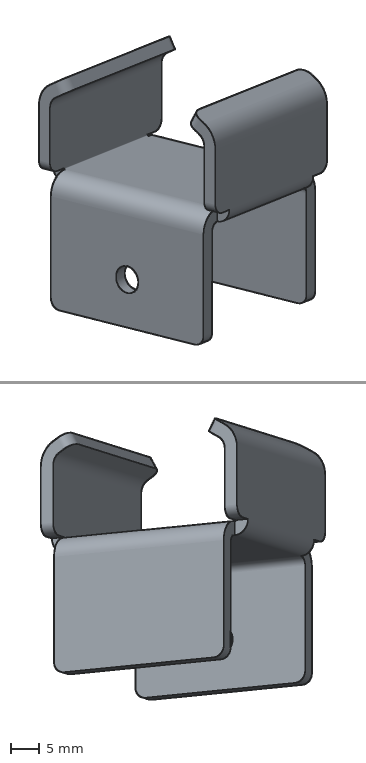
import cadquery as cq
import math

width = 40.0
depth = 32.0
height = 43.5
thickness = 2.52
base_top = 25.0
flange_bend_radius = 4.0
wing_inner_radius = 0.17
lip_inner_radius = 2.52
lip_angle = 60.0
lip_length = 3.18
corner_radius = 2.0
hole_diameter = 5.0
hole_height = 9.0

base_bottom = base_top - thickness
wing_outer_x = width / 2
wing_inner_x = wing_outer_x - thickness
base_half_width = wing_inner_x - wing_inner_radius
wing_bottom = base_top + wing_inner_radius
base_flat_depth = depth - 2 * flange_bend_radius
lip_outer_radius = lip_inner_radius + thickness
lip_tilt = math.radians(lip_angle)
wing_top = height - lip_outer_radius * math.sin(lip_tilt) - lip_length * math.cos(lip_tilt)
lip_center_x = wing_outer_x - lip_outer_radius


def lip_arc_point(radius, angle):
    """Point on the lip bend, with the angle measured up from horizontal."""
    return (lip_center_x + radius * math.cos(angle), wing_top + radius * math.sin(angle))


def along_lip(point):
    """Move a point along the straight part of the lip to its tip."""
    x, z = point
    return (x - lip_length * math.sin(lip_tilt), z + lip_length * math.cos(lip_tilt))


def make_channel():
    """Base with a flange bent down at the front and the back."""
    channel = (
        cq.Workplane("YZ")
        .rect(depth, 2 * base_top)
        .extrude(base_half_width, both=True)
        .edges("|X and >Z")
        .fillet(flange_bend_radius)
    )
    inside = (
        cq.Workplane("YZ")
        .rect(depth - 2 * thickness, 2 * base_bottom)
        .extrude(base_half_width, both=True)
        .edges("|X and >Z")
        .fillet(flange_bend_radius - thickness)
    )
    above_ground = cq.Workplane("XY").box(width, depth, height, centered=(True, True, False))
    channel = channel.cut(inside).intersect(above_ground)
    channel = channel.edges("|Y and <Z").fillet(corner_radius)
    hole = (
        cq.Workplane("XZ", origin=(0, -depth / 2, hole_height))
        .circle(hole_diameter / 2)
        .extrude(-thickness)
    )
    return channel.cut(hole)


def make_wing():
    """Upright plate with an inward lip, on the +X side."""
    inner_bend_end = lip_arc_point(lip_inner_radius, lip_tilt)
    outer_bend_end = lip_arc_point(lip_outer_radius, lip_tilt)
    wing = (
        cq.Workplane("XZ")
        .moveTo(wing_inner_x, wing_bottom)
        .lineTo(wing_inner_x, wing_top)
        .threePointArc(lip_arc_point(lip_inner_radius, lip_tilt / 2), inner_bend_end)
        .lineTo(*along_lip(inner_bend_end))
        .lineTo(*along_lip(outer_bend_end))
        .lineTo(*outer_bend_end)
        .threePointArc(lip_arc_point(lip_outer_radius, lip_tilt / 2), (wing_outer_x, wing_top))
        .lineTo(wing_outer_x, wing_bottom)
        .close()
        .extrude(depth / 2, both=True)
    )
    wing = wing.edges("|X and <Z").fillet(corner_radius)
    tip_direction = cq.Vector(-math.sin(lip_tilt), 0, math.cos(lip_tilt))
    tip_face = wing.faces(cq.selectors.DirectionMinMaxSelector(tip_direction))
    return tip_face.edges("not |Y").fillet(corner_radius)


def make_wing_bend():
    """Quarter bend joining the flat part of the base to the +X wing."""
    outer_radius = wing_inner_radius + thickness
    diagonal = math.sqrt(0.5)
    return (
        cq.Workplane("XZ")
        .moveTo(base_half_width, base_bottom)
        .threePointArc(
            (base_half_width + outer_radius * diagonal, wing_bottom - outer_radius * diagonal),
            (wing_outer_x, wing_bottom),
        )
        .lineTo(wing_inner_x, wing_bottom)
        .threePointArc(
            (base_half_width + wing_inner_radius * diagonal, wing_bottom - wing_inner_radius * diagonal),
            (base_half_width, base_top),
        )
        .close()
        .extrude(base_flat_depth / 2, both=True)
    )


right_wing = make_wing().union(make_wing_bend())
left_wing = right_wing.mirror("YZ")
result = make_channel().union(right_wing).union(left_wing)